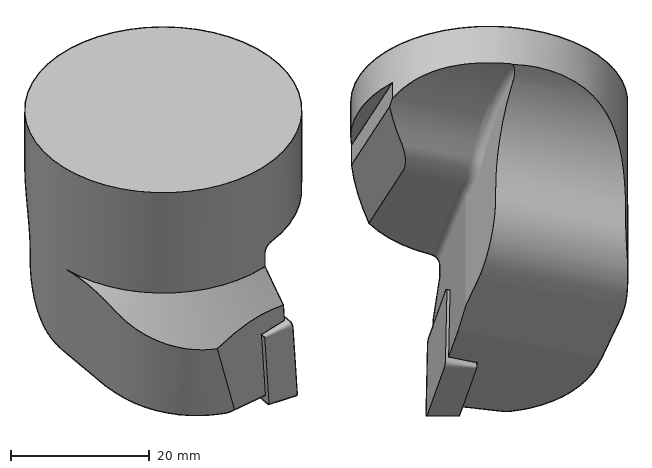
import cadquery as cq
import math

SHANK_DIAMETER = 40.0
SHANK_RADIUS = SHANK_DIAMETER / 2
REACH = 56.2

FLANGE_BOTTOM_Z = -6.3
NECK_X = -10.0
NECK_TOP_Z = -21.45
NECK_BOTTOM_Z = -23.0
HEEL_RADIUS = 10.0
HEEL_SLOPE = 12.8
BREAK_X = 7.8
BOTTOM_SLOPE = 5.1

NOSE_TOP_Z = -18.1
NOSE_TOP_SLOPE = 47.0
NOSE_ARC_X = 9.7
NOSE_ARC_RADIUS = 15.2
NOSE_ARC_END_ANGLE = -30.0
NOSE_FLAT_LENGTH = 9.35
END_POINT = (22.8, -12.27, -23.9)
NOSE_TOE_RADIUS = 0.55

WALL_Y = 2.6
WALL_BEND_X = 2.8
GULLET_TOP_Z = -6.32
GULLET_FLOOR_Z = -14.4
GULLET_ARC_X = -18.25
GULLET_ARC_RADIUS = 20.0
GULLET_LOWER_RADIUS = 5.95
GULLET_RADIUS_SUM = GULLET_ARC_RADIUS + GULLET_LOWER_RADIUS
GULLET_FILLET = 1.35

REAR_Y = 18.0
REAR_STEP_Z = -6.0
REAR_BEVEL_Z = -9.4

RAKE_TURN = 7.0
LEAD_ANGLE = 5.0
INSERT_SIDE = 12.9
INSERT_THICKNESS = 4.8
INSERT_RELIEF = 7.0
INSERT_NOSE_RADIUS = 0.8
INSERT_PROUD = 0.45
TIP_X = 26.85
TIP_Z = -38.0


def cos(angle):
    return math.cos(math.radians(angle))


def sin(angle):
    return math.sin(math.radians(angle))


def tan(angle):
    return math.tan(math.radians(angle))


def wall_y(x):
    """Y of the turned part of the head's wall at a given X."""
    return WALL_Y - (x - WALL_BEND_X) * tan(RAKE_TURN)


def on_arc(center, radius, angle):
    return (center[0] + radius * cos(angle), center[1] + radius * sin(angle))


def make_nose():
    """Lobe with a tangent rounded side and a conical top."""
    center = (NOSE_ARC_X, NOSE_ARC_RADIUS - SHANK_RADIUS)
    arc_end = on_arc(center, NOSE_ARC_RADIUS, NOSE_ARC_END_ANGLE)
    arc_middle = on_arc(center, NOSE_ARC_RADIUS, (NOSE_ARC_END_ANGLE - 90) / 2)
    flat_end = on_arc(arc_end, NOSE_FLAT_LENGTH, NOSE_ARC_END_ANGLE + 90)
    lobe = (
        cq.Workplane("XY")
        .moveTo(0, -SHANK_RADIUS)
        .lineTo(NOSE_ARC_X, -SHANK_RADIUS)
        .threePointArc(arc_middle, arc_end)
        .lineTo(*flat_end)
        .lineTo(flat_end[0], WALL_Y)
        .lineTo(0, WALL_Y)
        .close()
        .extrude(-REACH)
    )
    cone_bottom_z = NOSE_TOP_Z - REACH * tan(NOSE_TOP_SLOPE)
    cone = (
        cq.Workplane("XZ")
        .moveTo(0, NOSE_TOP_Z)
        .lineTo(SHANK_RADIUS, NOSE_TOP_Z)
        .lineTo(SHANK_RADIUS + REACH, cone_bottom_z)
        .lineTo(0, cone_bottom_z)
        .close()
        .revolve(360, (0, 0, 0), (0, 1, 0))
    )
    return lobe.intersect(cone)


def make_end_cutter():
    """Half-space beyond the nose end face, which leans with the insert's edge."""
    outward = cq.Vector(cos(RAKE_TURN), -sin(RAKE_TURN), tan(LEAD_ANGLE))
    end_plane = cq.Plane(origin=END_POINT, xDir=(0, 0, 1), normal=outward)
    return cq.Workplane(end_plane).rect(2 * REACH, 2 * REACH).extrude(REACH)


def make_side_envelope():
    """XZ outline of the head, extruded right through along Y."""
    hollow_run = NECK_X + SHANK_RADIUS
    hollow_rise = FLANGE_BOTTOM_Z - NECK_TOP_Z
    hollow_radius = (hollow_run**2 + hollow_rise**2) / (2 * hollow_run)
    hollow_center = (NECK_X - hollow_radius, NECK_TOP_Z)
    hollow_angle = math.degrees(math.asin(hollow_rise / hollow_radius))
    heel_center = (NECK_X + HEEL_RADIUS, NECK_BOTTOM_Z)
    heel_end_angle = 270 - HEEL_SLOPE
    heel_end = on_arc(heel_center, HEEL_RADIUS, heel_end_angle)
    break_z = heel_end[1] - (BREAK_X - heel_end[0]) * tan(HEEL_SLOPE)
    return (
        cq.Workplane("XZ", origin=(0, REACH, 0))
        .moveTo(-SHANK_RADIUS, 0)
        .lineTo(-SHANK_RADIUS, FLANGE_BOTTOM_Z)
        .threePointArc(on_arc(hollow_center, hollow_radius, hollow_angle / 2), (NECK_X, NECK_TOP_Z))
        .lineTo(NECK_X, NECK_BOTTOM_Z)
        .threePointArc(on_arc(heel_center, HEEL_RADIUS, (180 + heel_end_angle) / 2), heel_end)
        .lineTo(BREAK_X, break_z)
        .lineTo(REACH, break_z - (REACH - BREAK_X) * tan(BOTTOM_SLOPE))
        .lineTo(REACH, 0)
        .close()
        .extrude(2 * REACH)
    )


def make_gullet_cutter():
    """Space behind the wall, under an S-curved roof, with a rounded inner corner."""
    drop = GULLET_TOP_Z - GULLET_FLOOR_Z
    turn = math.degrees(math.acos(1 - drop / GULLET_RADIUS_SUM))
    upper_center = (GULLET_ARC_X, GULLET_TOP_Z - GULLET_ARC_RADIUS)
    lower_center = (GULLET_ARC_X + GULLET_RADIUS_SUM * sin(turn), GULLET_FLOOR_Z + GULLET_LOWER_RADIUS)
    roofed_space = (
        cq.Workplane("XZ", origin=(0, REACH, 0))
        .moveTo(-REACH, GULLET_TOP_Z)
        .lineTo(GULLET_ARC_X, GULLET_TOP_Z)
        .threePointArc(
            on_arc(upper_center, GULLET_ARC_RADIUS, 90 - turn / 2),
            on_arc(upper_center, GULLET_ARC_RADIUS, 90 - turn),
        )
        .threePointArc(
            on_arc(lower_center, GULLET_LOWER_RADIUS, 270 - turn / 2),
            (lower_center[0], GULLET_FLOOR_Z),
        )
        .lineTo(REACH, GULLET_FLOOR_Z)
        .lineTo(REACH, -REACH)
        .lineTo(-REACH, -REACH)
        .close()
        .extrude(2 * REACH)
    )
    behind_wall = (
        cq.Workplane("XY")
        .moveTo(-REACH, WALL_Y)
        .lineTo(WALL_BEND_X, WALL_Y)
        .lineTo(REACH, wall_y(REACH))
        .lineTo(REACH, REACH)
        .lineTo(-REACH, REACH)
        .close()
        .extrude(-REACH)
    )
    cutter = roofed_space.intersect(behind_wall)
    roof_corner = cq.selectors.BoxSelector(
        (-REACH, wall_y(REACH) - 0.45, GULLET_FLOOR_Z - 0.45), (REACH, WALL_Y + 0.45, 0)
    )
    return cutter.edges(roof_corner).fillet(GULLET_FILLET)


def make_rear_cutter():
    """Rear step under the flange, running into a 45 degree bevel."""
    bevel = REAR_BEVEL_Z - GULLET_FLOOR_Z
    return (
        cq.Workplane("YZ", origin=(-REACH, 0, 0))
        .moveTo(REACH, REAR_STEP_Z)
        .lineTo(REAR_Y, REAR_STEP_Z)
        .lineTo(REAR_Y, REAR_BEVEL_Z)
        .lineTo(REAR_Y - bevel, GULLET_FLOOR_Z)
        .lineTo(REACH, GULLET_FLOOR_Z)
        .close()
        .extrude(2 * REACH)
    )


def make_insert():
    """Rhombic insert, tapering forward from its rear cutting face."""
    face_y = wall_y(SHANK_RADIUS) + INSERT_PROUD / cos(RAKE_TURN)
    face = cq.Plane(
        origin=(SHANK_RADIUS, face_y, 0),
        xDir=(cos(RAKE_TURN), -sin(RAKE_TURN), 0),
        normal=(-sin(RAKE_TURN), -cos(RAKE_TURN), 0),
    )
    half_corner_angle = 45 - LEAD_ANGLE
    rounding_center = INSERT_NOSE_RADIUS / sin(half_corner_angle)
    overshoot = rounding_center * cos(45) - INSERT_NOSE_RADIUS
    corner = ((TIP_X - SHANK_RADIUS) / cos(RAKE_TURN) + overshoot, TIP_Z - overshoot)
    upper = on_arc(corner, INSERT_SIDE, 90 + LEAD_ANGLE)
    left = on_arc(corner, INSERT_SIDE, 180 - LEAD_ANGLE)
    far = on_arc(upper, INSERT_SIDE, 180 - LEAD_ANGLE)
    outline = cq.Sketch().polygon([corner, upper, far, left, corner])
    outline = outline.vertices().fillet(INSERT_NOSE_RADIUS)
    return cq.Workplane(face).placeSketch(outline).extrude(INSERT_THICKNESS, taper=INSERT_RELIEF)


def make_head(insert):
    shank = cq.Workplane("XY").circle(SHANK_RADIUS).extrude(-REACH)
    nose = make_nose().cut(make_end_cutter())
    head = shank.union(nose).intersect(make_side_envelope())
    head = head.cut(make_gullet_cutter()).cut(make_rear_cutter())
    toe_edge = cq.selectors.NearestToPointSelector((TIP_X, 0, TIP_Z))
    head = head.edges(toe_edge).fillet(NOSE_TOE_RADIUS)
    return head.cut(insert)


insert = make_insert()
head = make_head(insert)

result = cq.Compound.makeCompound([head.val(), insert.val()])